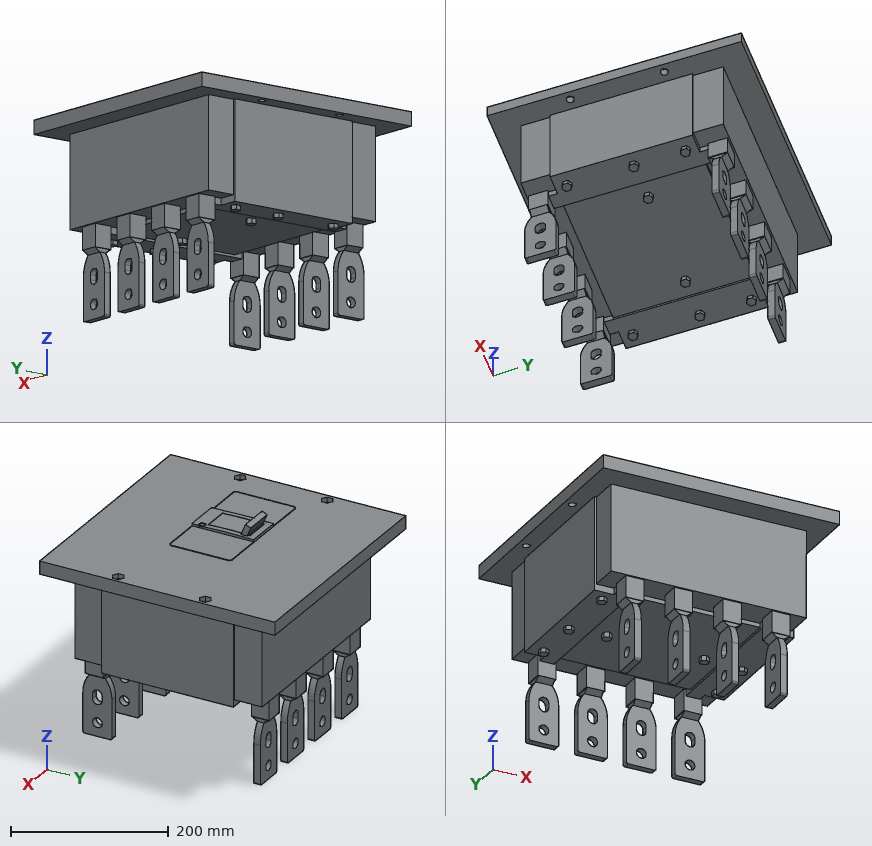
import cadquery as cq
import math


plate_x = 338.0
plate_y = 343
plate_thickness = 19.0
screw_x = 157.0
screw_y = 63.5
screw_hole_diameter = 10.0
screw_recess_flats = 14.0
screw_recess_depth = 7

panel_center_x = -34.5
panel_center_y = -5.0
panel_x = 169.8
panel_y = 90.2
panel_corner = 4.0
panel_top = 1.0

collar_x = 51.0
collar_top = 4.0
dome_half_y = 31.2
dome_rise = 0.7
slide_x = 36.5
slide_half_y = 30.2
slide_lift = 0.5
button_size = 7.5
button_depth = 1.5
button_x = -13.7
button_y = -37.7

lever_x = 42.5
lever_thickness = 8.2
lever_tilt = 22.5
lever_foot_y = 23.3
lever_top = 20.2

core_x = 285.5
core_y = 192
core_bottom = -152.5
groove_depth = 3.5
rail_width = 20.5
wing_x = 279.2
housing_y = 273.0
wing_bottom = -143.5

terminal_pitch = 69.5
terminal_count = 4
terminal_y = 121.0
shank_size = 26.0
shank_bottom = -174.0
neck_width = 24
neck_bottom = -179.5
blade_width = 42.5
blade_thickness = 9.5
blade_bottom = -264.8
shoulder_bottom = -207.2
blade_corner = 2.7
hole_diameter = 13.7
hole_z = -245.2
slot_length = 20.5
slot_z = -209.0

head_flats = 11.5
side_head_x = 123.8
side_head_rows = [-80.0, 10.3, 80.0]
side_head_height = 6.0
middle_head_x = terminal_pitch
middle_head_y = 10.3
middle_head_height = 7

plate_bottom = -plate_thickness
groove_top = core_bottom + groove_depth
outer_terminal_x = terminal_pitch * (terminal_count - 1) / 2
groove_x = 2 * outer_terminal_x - rail_width


def block(size_x, size_y, z_low, z_high, center=(0, 0)):
    """Upright rectangular block between two heights."""
    return (
        cq.Workplane("XY", origin=(0, 0, z_low))
        .center(*center)
        .rect(size_x, size_y)
        .extrude(z_high - z_low)
    )


def hexagon(across_flats, z_low, z_high, center):
    """Upright hexagonal prism with its corners towards +Y and -Y."""
    corner_diameter = across_flats / math.cos(math.radians(30))
    return (
        cq.Workplane("XY")
        .polygon(6, corner_diameter)
        .extrude(z_high - z_low)
        .rotate((0, 0, 0), (0, 0, 1), 30)
        .translate((center[0], center[1], z_low))
    )


def make_panel_boss(top):
    """Rounded panel block that fills the opening in the cover plate."""
    return (
        block(panel_x, panel_y, plate_bottom, top, (panel_center_x, panel_center_y))
        .edges("|Z")
        .fillet(panel_corner)
    )


def make_cover_plate():
    plate = block(plate_x, plate_y, plate_bottom, 0)
    plate = plate.cut(make_panel_boss(0))
    for x in (-screw_x, screw_x):
        for y in (-screw_y, screw_y):
            hole = (
                cq.Workplane("XY", origin=(x, y, plate_bottom))
                .circle(screw_hole_diameter / 2)
                .extrude(plate_thickness)
            )
            recess = hexagon(screw_recess_flats, -screw_recess_depth, 0, (x, y))
            plate = plate.cut(hole).cut(recess)
    return plate


def make_housing():
    core = block(core_x, core_y, core_bottom, plate_bottom)
    groove = block(groove_x, core_y, core_bottom, groove_top)
    wings = block(wing_x, housing_y, wing_bottom, plate_bottom)
    housing = core.cut(groove).union(wings)
    for x in (-outer_terminal_x, outer_terminal_x):
        rail = block(rail_width, 2 * terminal_y, core_bottom, wing_bottom, (x, 0))
        housing = housing.union(rail)
    return housing


def make_dome(width, half_y, lift):
    """Strip across the collar whose upper side is a shallow arc along Y."""
    edge_top = collar_top + lift
    return (
        cq.Workplane("YZ", origin=(panel_center_x - width / 2, 0, 0))
        .moveTo(-half_y, 0)
        .lineTo(-half_y, edge_top)
        .threePointArc((0, edge_top + dome_rise), (half_y, edge_top))
        .lineTo(half_y, 0)
        .close()
        .extrude(width)
    )


def make_lever():
    """Tilted plate; its highest edge lies at lever_top."""
    tilt = math.radians(lever_tilt)
    half = lever_thickness / 2
    length = (lever_top - collar_top - half * math.sin(tilt)) / math.cos(tilt)
    root = collar_top / math.cos(tilt)
    return (
        cq.Workplane("XY")
        .box(lever_x, lever_thickness, length + root, centered=(True, True, False))
        .translate((0, 0, -root))
        .rotate((0, 0, 0), (1, 0, 0), -lever_tilt)
        .translate((panel_center_x, lever_foot_y, collar_top))
    )


def make_front_panel():
    collar = block(collar_x, panel_y, 0, collar_top, (panel_center_x, panel_center_y))
    button = block(
        button_size, button_size, collar_top - button_depth, collar_top, (button_x, button_y)
    )
    return (
        make_panel_boss(panel_top)
        .union(collar.cut(button))
        .union(make_dome(collar_x, dome_half_y, 0))
        .union(make_dome(slide_x, slide_half_y, slide_lift))
        .union(make_lever())
    )


def make_terminal():
    """Terminal on the Z axis, its flat blade facing Y."""
    shank = block(shank_size, shank_size, shank_bottom, wing_bottom)

    neck = (
        cq.Workplane("YZ", origin=(-neck_width / 2, 0, 0))
        .moveTo(-shank_size / 2, shank_bottom)
        .lineTo(shank_size / 2, shank_bottom)
        .lineTo(blade_thickness / 2, neck_bottom)
        .lineTo(-blade_thickness / 2, neck_bottom)
        .close()
        .extrude(neck_width)
    )

    shoulder_run = (blade_width - neck_width) / 2
    shoulder_drop = neck_bottom - shoulder_bottom
    shoulder_radius = (shoulder_run**2 + shoulder_drop**2) / (2 * shoulder_run)
    arc_angle = math.asin(shoulder_drop / shoulder_radius) / 2
    arc_mid_x = blade_width / 2 - shoulder_radius * (1 - math.cos(arc_angle))
    arc_mid_z = shoulder_bottom + shoulder_radius * math.sin(arc_angle)
    blade = (
        cq.Workplane("XZ", origin=(0, blade_thickness / 2, 0))
        .moveTo(-blade_width / 2, blade_bottom)
        .lineTo(blade_width / 2, blade_bottom)
        .lineTo(blade_width / 2, shoulder_bottom)
        .threePointArc((arc_mid_x, arc_mid_z), (neck_width / 2, neck_bottom))
        .lineTo(-neck_width / 2, neck_bottom)
        .threePointArc((-arc_mid_x, arc_mid_z), (-blade_width / 2, shoulder_bottom))
        .close()
        .extrude(blade_thickness)
        .faces("<Z")
        .edges("|Y")
        .fillet(blade_corner)
    )

    openings = (
        cq.Workplane("XZ", origin=(0, blade_thickness / 2, 0))
        .center(0, slot_z)
        .slot2D(slot_length, hole_diameter, 90)
        .center(0, hole_z - slot_z)
        .circle(hole_diameter / 2)
        .extrude(blade_thickness)
    )
    return shank.union(neck).union(blade.cut(openings))


def make_breaker():
    breaker = make_housing().union(make_front_panel())

    rear_terminal = make_terminal()
    front_terminal = rear_terminal.rotate((0, 0, 0), (0, 0, 1), 90)
    for index in range(terminal_count):
        x = index * terminal_pitch - outer_terminal_x
        breaker = breaker.union(rear_terminal.translate((x, terminal_y, 0)))
        breaker = breaker.union(front_terminal.translate((x, -terminal_y, 0)))

    for side in (-1, 1):
        for y in side_head_rows:
            place = (side * side_head_x, y)
            head = hexagon(head_flats, core_bottom - side_head_height, core_bottom, place)
            breaker = breaker.union(head)
        place = (side * middle_head_x, middle_head_y)
        head = hexagon(head_flats, groove_top - middle_head_height, groove_top, place)
        breaker = breaker.union(head)
    return breaker


cover_plate = make_cover_plate()
breaker = make_breaker()
result = cq.Compound.makeCompound([cover_plate.val(), breaker.val()])